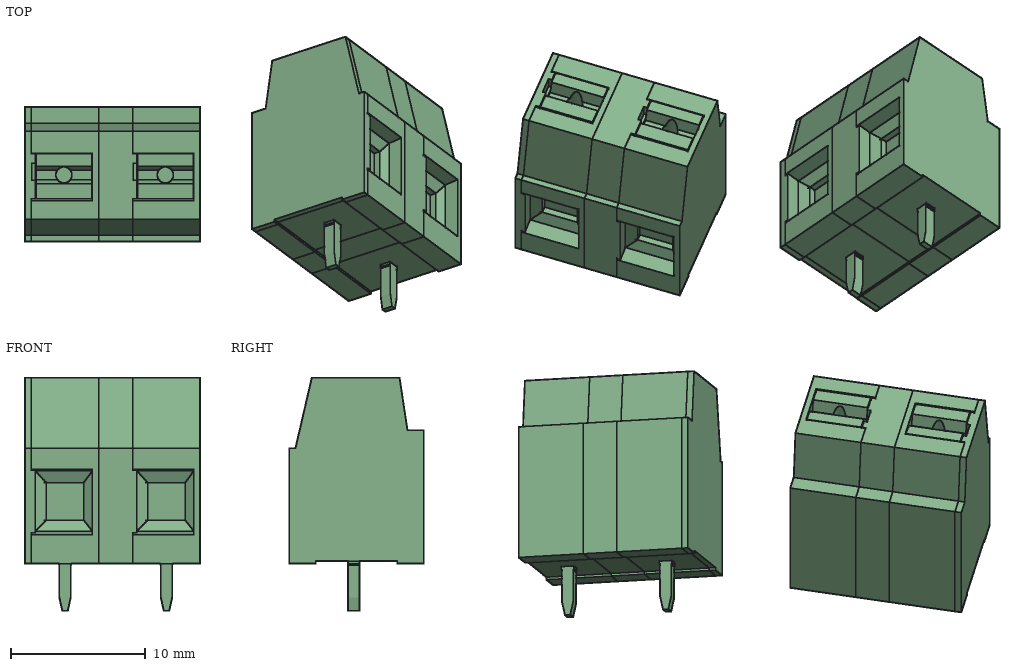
import cadquery as cq


PLATE_WIDTH = 0.48
CELL_WIDTH = 4.98
SPACER_WIDTH = 2.55
POLE_PITCH = CELL_WIDTH + SPACER_WIDTH
POLE_COUNT = 2
TOTAL_WIDTH = PLATE_WIDTH + POLE_COUNT * CELL_WIDTH + SPACER_WIDTH
FIRST_CELL_X = -TOTAL_WIDTH / 2 + PLATE_WIDTH

DEPTH = 10.0
FRONT_Y = -DEPTH / 2
BACK_Y = DEPTH / 2
OVERALL_HEIGHT = 17.3
HEIGHT = 13.8
FRONT_LEDGE_Z = 8.58
FRONT_LEDGE_DEPTH = 0.47
FRONT_TOP_INSET = 1.68
BACK_LEDGE_Z = 9.91
BACK_LEDGE_DEPTH = 1.21
BACK_TOP_INSET = 1.8
FOOT_LENGTH = 1.99
FOOT_HEIGHT = 0.19

BOSS_THICKNESS = 0.3
CAVITY_RIGHT_X = 4.52

MOUTH_BOTTOM_Z = 2.16
MOUTH_TOP_Z = 7.0
MOUTH_DEPTH = 1.1
MOUTH_DRAFT_RISE = 0.26
MOUTH_DRAFT_DROP = 0.12
FUNNEL_DEPTH = 1.5
ENTRY_DEPTH = 2.0
ENTRY_END_SIZE = 2.77
ENTRY_END_Z = 4.62
ENTRY_LEFT_X = (CELL_WIDTH - ENTRY_END_SIZE) / 2
ENTRY_RIGHT_X = ENTRY_LEFT_X + ENTRY_END_SIZE
ENTRY_BOTTOM_Z = ENTRY_END_Z - ENTRY_END_SIZE / 2
ENTRY_TOP_Z = ENTRY_END_Z + ENTRY_END_SIZE / 2
MOUTH_BOTTOM_CLEARANCE = 0.12
MOUTH_TOP_CLEARANCE = 0.07

WELL_FRONT_Y = -1.95
WELL_BACK_Y = 1.57
BLOCK_FRONT_Y = -1.83
BLOCK_BACK_Y = 1.52
BLOCK_SIDE_GAP = 0.05
BLOCK_HEIGHT = 3.0
WELL_FLOOR_Z = HEIGHT - BLOCK_HEIGHT
SLOT_TOP_WIDTH = 1.31
SLOT_FLOOR_WIDTH = 0.73
SLOT_DEPTH = 0.9
SCREW_HOLE_DIAMETER = 1.2
SLOT_Y = -0.05

NOTCH_FRONT_Y = -0.45
NOTCH_BACK_Y = 0.81
NOTCH_THICKNESS = 0.26
NOTCH_DEPTH = SLOT_DEPTH

PIN_SIZE = 0.86
PIN_Y = -0.2
PIN_LENGTH = OVERALL_HEIGHT - HEIGHT
PIN_TIP_WIDTH = 0.42
PIN_TAPER_LENGTH = 1.0
COLLAR_OVERHANG = 0.05
COLLAR_BEVEL_Z = -0.1
COLLAR_FULL_Z = 0
COLLAR_TOP_Z = 1.0


def box(x_span, y_span, z_span):
    """Box between the given (low, high) limits."""
    sizes = [high - low for low, high in (x_span, y_span, z_span)]
    corner = (x_span[0], y_span[0], z_span[0])
    return cq.Workplane("XY").box(*sizes, centered=False).translate(corner)


def side_prism(points, x_start, width):
    """Prism of a closed (y, z) outline, running along +X from x_start."""
    return cq.Workplane("YZ", origin=(x_start, 0, 0)).polyline(points).close().extrude(width)


def housing_slice(x_start, width):
    """Slice of the stepped and tapered housing, standing on a front and a back foot."""
    outline = [
        (FRONT_Y, 0),
        (FRONT_Y, FRONT_LEDGE_Z),
        (FRONT_Y + FRONT_LEDGE_DEPTH, FRONT_LEDGE_Z),
        (FRONT_Y + FRONT_TOP_INSET, HEIGHT),
        (BACK_Y - BACK_TOP_INSET, HEIGHT),
        (BACK_Y - BACK_LEDGE_DEPTH, BACK_LEDGE_Z),
        (BACK_Y, BACK_LEDGE_Z),
        (BACK_Y, 0),
        (BACK_Y - FOOT_LENGTH, 0),
        (BACK_Y - FOOT_LENGTH, FOOT_HEIGHT),
        (FRONT_Y + FOOT_LENGTH, FOOT_HEIGHT),
        (FRONT_Y + FOOT_LENGTH, 0),
    ]
    return side_prism(outline, x_start, width)


def entry_volume(cell_x, plan, bottom_clearance=0, top_clearance=0):
    """Wire-entry shape: its side outline along X, trimmed to a plan of (x in cell, depth) points."""
    side = [
        (FRONT_Y, MOUTH_BOTTOM_Z + bottom_clearance),
        (FRONT_Y + MOUTH_DEPTH, MOUTH_BOTTOM_Z + MOUTH_DRAFT_RISE),
        (FRONT_Y + FUNNEL_DEPTH, ENTRY_BOTTOM_Z),
        (FRONT_Y + ENTRY_DEPTH, ENTRY_BOTTOM_Z),
        (FRONT_Y + ENTRY_DEPTH, ENTRY_TOP_Z),
        (FRONT_Y + FUNNEL_DEPTH, ENTRY_TOP_Z),
        (FRONT_Y + MOUTH_DEPTH, MOUTH_TOP_Z - MOUTH_DRAFT_DROP),
        (FRONT_Y, MOUTH_TOP_Z - top_clearance),
    ]
    plan_points = [(cell_x + x, FRONT_Y + depth) for x, depth in plan]
    plan_prism = cq.Workplane("XY").polyline(plan_points).close().extrude(HEIGHT)
    return side_prism(side, cell_x, CELL_WIDTH).intersect(plan_prism)


def pin_body(cell_x):
    """Square pin with a two-sided tip and a collar flared out along X at the housing underside."""
    half = PIN_SIZE / 2
    collar = half + COLLAR_OVERHANG
    right_side = [
        (PIN_TIP_WIDTH / 2, -PIN_LENGTH),
        (half, -PIN_LENGTH + PIN_TAPER_LENGTH),
        (half, COLLAR_BEVEL_Z),
        (collar, COLLAR_FULL_Z),
        (collar, COLLAR_TOP_Z),
    ]
    left_side = [(-x, z) for x, z in reversed(right_side)]
    origin = (cell_x + CELL_WIDTH / 2, PIN_Y, 0)
    outline = cq.Workplane("XZ", origin=origin).polyline(right_side + left_side).close()
    return outline.extrude(half, both=True)


def cell_body(cell_x):
    """Cell with its wire entry and screw well open to the -X side, and a socket for the pin."""
    entry_plan = [
        (0, 0),
        (CAVITY_RIGHT_X, 0),
        (CAVITY_RIGHT_X, MOUTH_DEPTH),
        (ENTRY_RIGHT_X, FUNNEL_DEPTH),
        (ENTRY_RIGHT_X, ENTRY_DEPTH),
        (0, ENTRY_DEPTH),
    ]
    well = box((cell_x, cell_x + CAVITY_RIGHT_X), (WELL_FRONT_Y, WELL_BACK_Y), (WELL_FLOOR_Z, HEIGHT))
    cell = housing_slice(cell_x, CELL_WIDTH)
    return cell.cut(entry_volume(cell_x, entry_plan)).cut(well).cut(pin_body(cell_x))


def side_panel(cell_x, width):
    """Panel on the -X side of a cell, with one boss in the wire entry and one in the screw well."""
    boss_plan = [
        (0, 0),
        (BOSS_THICKNESS, 0),
        (BOSS_THICKNESS, MOUTH_DEPTH),
        (ENTRY_LEFT_X, FUNNEL_DEPTH),
        (ENTRY_LEFT_X, ENTRY_DEPTH),
        (0, ENTRY_DEPTH),
    ]
    entry_boss = entry_volume(cell_x, boss_plan, MOUTH_BOTTOM_CLEARANCE, MOUTH_TOP_CLEARANCE)
    boss_x = cell_x + BOSS_THICKNESS
    well_boss = box((cell_x, boss_x), (BLOCK_FRONT_Y, BLOCK_BACK_Y), (WELL_FLOOR_Z, HEIGHT))
    notch = box(
        (boss_x - NOTCH_THICKNESS, boss_x),
        (NOTCH_FRONT_Y, NOTCH_BACK_Y),
        (HEIGHT - NOTCH_DEPTH, HEIGHT),
    )
    panel = housing_slice(cell_x - width, width)
    return panel.union(entry_boss).union(well_boss.cut(notch))


def screw_block(cell_x):
    """Block standing in the well, with a tapered slot across its top and a hole down its middle."""
    left_x = cell_x + BOSS_THICKNESS + BLOCK_SIDE_GAP
    right_x = cell_x + CAVITY_RIGHT_X - BLOCK_SIDE_GAP
    block = box((left_x, right_x), (BLOCK_FRONT_Y, BLOCK_BACK_Y), (WELL_FLOOR_Z, HEIGHT))
    slot_outline = [
        (SLOT_Y - SLOT_TOP_WIDTH / 2, HEIGHT),
        (SLOT_Y - SLOT_FLOOR_WIDTH / 2, HEIGHT - SLOT_DEPTH),
        (SLOT_Y + SLOT_FLOOR_WIDTH / 2, HEIGHT - SLOT_DEPTH),
        (SLOT_Y + SLOT_TOP_WIDTH / 2, HEIGHT),
    ]
    slot = side_prism(slot_outline, left_x, right_x - left_x)
    hole_plane = cq.Workplane("XY", origin=((left_x + right_x) / 2, SLOT_Y, WELL_FLOOR_Z))
    hole = hole_plane.circle(SCREW_HOLE_DIAMETER / 2).extrude(BLOCK_HEIGHT)
    return block.cut(slot).cut(hole)


cell_positions = [FIRST_CELL_X + i * POLE_PITCH for i in range(POLE_COUNT)]

end_plate = side_panel(cell_positions[0], PLATE_WIDTH)
spacer = side_panel(cell_positions[1], SPACER_WIDTH)
cells = [cell_body(x) for x in cell_positions]
screw_blocks = [screw_block(x) for x in cell_positions]
pins = [pin_body(x) for x in cell_positions]

bodies = [end_plate, spacer, *cells, *screw_blocks, *pins]
result = cq.Compound.makeCompound([body.solids().val() for body in bodies])